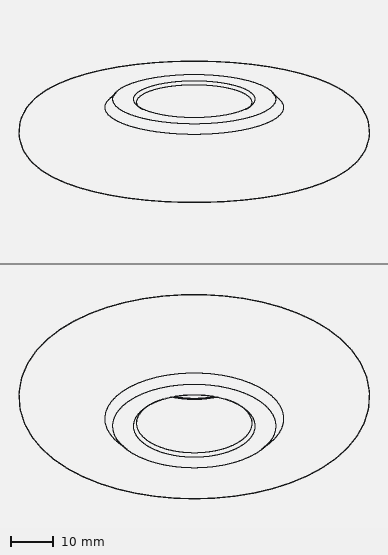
import cadquery as cq

tyre_diameter = 82.0
tyre_width = 12.0
tyre_edge_radius = 5.9

hub_width = 16.0
hub_diameter = 41.8
end_face_diameter = 38.2
rim_diameter = 38.8
rim_height = 0.5
bore_diameter = 27.0
bore_chamfer = 0.7


def make_tyre():
    """Disc with rounded outer edges and a plain seat for the hub."""
    disc = cq.Workplane("XY").circle(tyre_diameter / 2).extrude(tyre_width / 2, both=True)
    disc = disc.edges().fillet(tyre_edge_radius)
    seat = cq.Workplane("XY").circle(hub_diameter / 2).extrude(tyre_width, both=True)
    return disc.cut(seat)


def make_hub():
    """Revolved sleeve whose conical shoulders rise from the tyre faces to a narrow rim."""
    half_width = hub_width / 2
    half_seat = tyre_width / 2
    half_bore = half_width - bore_chamfer
    rim_level = half_width - rim_height
    bore_radius = bore_diameter / 2
    upper_outline = [
        (bore_radius, half_bore),
        (bore_radius + bore_chamfer, half_width),
        (end_face_diameter / 2, half_width),
        (rim_diameter / 2, rim_level),
        (hub_diameter / 2, half_seat),
    ]
    lower_outline = [(radius, -level) for radius, level in reversed(upper_outline)]
    profile = cq.Workplane("XZ").polyline(upper_outline + lower_outline).close()
    return profile.revolve(360, (0, 0, 0), (0, 1, 0))


tyre = make_tyre()
hub = make_hub()
result = cq.Compound.makeCompound([tyre.val(), hub.val()])